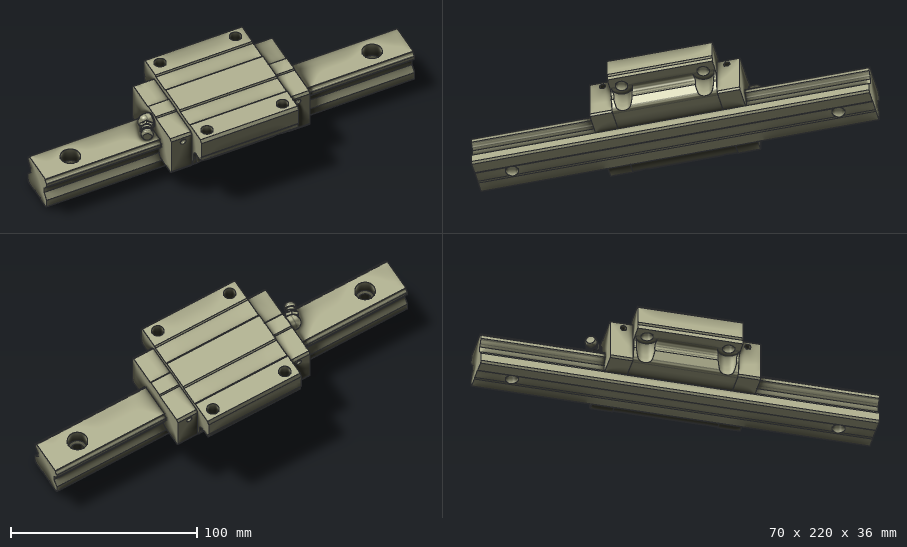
import cadquery as cq
import math

RAIL_LENGTH = 220.0
TOTAL_HEIGHT = 36.0

RAIL_HEIGHT = 20.5
RAIL_HALF_WIDTH = 11.5
RAIL_TOP_HALF_WIDTH = 9.7
RAIL_WAIST_HALF_WIDTH = 8.4
RAIL_HEAD_TOP = 18.3
RAIL_HEAD_BOTTOM = 16.0
RAIL_WAIST_TOP = 12.5
RAIL_WAIST_BOTTOM = 9.2
RAIL_BASE_TOP = 6.0
RAIL_BOTTOM_CHAMFER = 1.0
UPPER_TRACK_TOP = 20.0
UPPER_TRACK_MIDDLE = (10.1, 19.0)
UPPER_TRACK_END = (11.0, 18.5)
LOWER_TRACK_START = (11.0, 15.6)
LOWER_TRACK_MIDDLE = (10.1, 14.7)
LOWER_TRACK_END = (9.5, 13.6)
RAIL_RELIEF_DEPTH = 0.5
RAIL_RELIEF_HALF_WIDTH = 4.0
RAIL_RELIEF_SLOPE = 0.9
RAIL_HOLE_SPACING = 180.5
RAIL_HOLE_DIAMETER = 7.0
RAIL_COUNTERBORE_DIAMETER = 11.0
RAIL_COUNTERBORE_DEPTH = 8.8

BLOCK_HALF_WIDTH = 35.0
BLOCK_LENGTH = 58.0
BLOCK_BOTTOM = 7.3
TOP_CHAMFER_WIDTH = 1.3
TOP_CHAMFER_HEIGHT = 1.8
FLANGE_STEP_TOP = 24.2
FLANGE_STEP_BOTTOM = 23.0
FLANGE_STEP_WIDTH = 0.7
FLANGE_EDGE_BOTTOM = 20.7
FLANGE_UNDERSIDE = 20.2
SKIRT_HALF_WIDTH = 25.5
SKIRT_FILLET = 3.0
SKIRT_BEAD_TOP = 15.6
SKIRT_BEAD_BOTTOM = 14.3
SKIRT_BEAD_WIDTH = 0.2
SKIRT_BOTTOM_HALF_WIDTH = 23.5
SKIRT_CORNER_RADIUS = 2.5

GROOVE_INNER = 8.4
GROOVE_OUTER = 21.1
GROOVE_DEPTH = 0.7
GROOVE_SLOPE = 0.9

MOUNT_HOLE_DIAMETER = 6.5
MOUNT_SPACING_X = 57.0
MOUNT_SPACING_Y = 45.0
NOTCH_RADIUS = 6.0

CARRIAGE_LENGTH = 83.0
CAP_HALF_WIDTH = 23.5
CAP_BOTTOM = 7.0
CAP_TOP = 32.1
CAP_TOP_CHAMFER = 1.3
CAP_BOTTOM_CHAMFER_WIDTH = 0.7
CAP_BOTTOM_CHAMFER_HEIGHT = 1.3
CAP_RIDGE_HEIGHT = 0.7
CAP_RIDGE_HALF_WIDTH = 4.5
CAP_HOLE_DIAMETER = 3.3
CAP_HOLE_DEPTH = 4.5
CAP_HOLE_Y = 34.3
CAP_HOLE_Z = 28.0

NIPPLE_Z = 26.8
ELBOW_DIAMETER = 8.5
ELBOW_STUB_LENGTH = 3.5
SEAT_DIAMETER = 8.0
SEAT_LENGTH = 0.7
NOZZLE_ANGLE = 22.5
HEX_ACROSS_FLATS = 7.0
HEX_TURN = 30.0
HEX_START = 3.0
HEX_END = 5.3
COLLAR_END = 6.8
HEAD_START = 8.5
HEAD_ROUND_START = 10.0
NOZZLE_END = 11.7
NECK_DIAMETER = 4.8
HEAD_DIAMETER = 6.5
COLLAR_DIAMETER = 6.0


def symmetric_prism(right_side, length):
    """Extrude a profile along Y, centred; right_side runs from top to bottom at x >= 0."""
    left_side = [(-x, z) for x, z in reversed(right_side)]
    outline = cq.Workplane("XZ").polyline(right_side + left_side).close()
    return outline.extrude(length / 2, both=True)


def rail_profile_bar():
    """Solid rail without holes: half of its section extruded, then mirrored."""
    top = RAIL_HEIGHT
    half_bar = (
        cq.Workplane("XZ")
        .moveTo(0, top)
        .lineTo(RAIL_TOP_HALF_WIDTH, top)
        .lineTo(RAIL_TOP_HALF_WIDTH, UPPER_TRACK_TOP)
        .threePointArc(UPPER_TRACK_MIDDLE, UPPER_TRACK_END)
        .lineTo(RAIL_HALF_WIDTH, RAIL_HEAD_TOP)
        .lineTo(RAIL_HALF_WIDTH, RAIL_HEAD_BOTTOM)
        .lineTo(*LOWER_TRACK_START)
        .threePointArc(LOWER_TRACK_MIDDLE, LOWER_TRACK_END)
        .lineTo(RAIL_WAIST_HALF_WIDTH, RAIL_WAIST_TOP)
        .lineTo(RAIL_WAIST_HALF_WIDTH, RAIL_WAIST_BOTTOM)
        .lineTo(RAIL_HALF_WIDTH, RAIL_BASE_TOP)
        .lineTo(RAIL_HALF_WIDTH, RAIL_BOTTOM_CHAMFER)
        .lineTo(RAIL_HALF_WIDTH - RAIL_BOTTOM_CHAMFER, 0)
        .lineTo(RAIL_RELIEF_HALF_WIDTH, 0)
        .lineTo(RAIL_RELIEF_HALF_WIDTH - RAIL_RELIEF_SLOPE, RAIL_RELIEF_DEPTH)
        .lineTo(0, RAIL_RELIEF_DEPTH)
        .close()
        .extrude(RAIL_LENGTH / 2, both=True)
    )
    return half_bar.union(half_bar.mirror("YZ"))


def make_rail():
    return (
        rail_profile_bar()
        .faces(">Z")
        .workplane(origin=(0, 0, RAIL_HEIGHT))
        .rarray(2.2, RAIL_HOLE_SPACING, 1, 2)
        .cboreHole(RAIL_HOLE_DIAMETER, RAIL_COUNTERBORE_DIAMETER, RAIL_COUNTERBORE_DEPTH)
    )


def make_block():
    """Flanged middle block, before the rail passage is cut."""
    groove_floor = TOTAL_HEIGHT - GROOVE_DEPTH
    stepped_half_width = BLOCK_HALF_WIDTH - FLANGE_STEP_WIDTH
    right_side = [
        (GROOVE_INNER, TOTAL_HEIGHT),
        (GROOVE_INNER + GROOVE_SLOPE, groove_floor),
        (GROOVE_OUTER - GROOVE_SLOPE, groove_floor),
        (GROOVE_OUTER, TOTAL_HEIGHT),
        (BLOCK_HALF_WIDTH - TOP_CHAMFER_WIDTH, TOTAL_HEIGHT),
        (BLOCK_HALF_WIDTH, TOTAL_HEIGHT - TOP_CHAMFER_HEIGHT),
        (BLOCK_HALF_WIDTH, FLANGE_STEP_TOP),
        (stepped_half_width, FLANGE_STEP_BOTTOM),
        (stepped_half_width, FLANGE_EDGE_BOTTOM),
        (SKIRT_HALF_WIDTH, FLANGE_UNDERSIDE),
        (SKIRT_HALF_WIDTH - SKIRT_BEAD_WIDTH, SKIRT_BEAD_TOP),
        (SKIRT_HALF_WIDTH, SKIRT_BEAD_BOTTOM),
        (SKIRT_BOTTOM_HALF_WIDTH, BLOCK_BOTTOM),
    ]
    block = symmetric_prism(right_side, BLOCK_LENGTH)
    for x in (-SKIRT_HALF_WIDTH, SKIRT_HALF_WIDTH):
        block = block.edges(cq.NearestToPointSelector((x, 0, FLANGE_UNDERSIDE))).fillet(SKIRT_FILLET)
    for x in (-SKIRT_BOTTOM_HALF_WIDTH, SKIRT_BOTTOM_HALF_WIDTH):
        block = block.edges(cq.NearestToPointSelector((x, 0, BLOCK_BOTTOM))).fillet(SKIRT_CORNER_RADIUS)

    mounts = cq.Workplane("XY").rarray(MOUNT_SPACING_X, MOUNT_SPACING_Y, 2, 2)
    holes = mounts.circle(MOUNT_HOLE_DIAMETER / 2).extrude(TOTAL_HEIGHT)
    notches = mounts.circle(NOTCH_RADIUS).extrude(FLANGE_UNDERSIDE)
    return block.cut(holes).cut(notches)


def make_caps():
    """The two end caps, one against each end of the block."""
    ridge_top = CAP_TOP + CAP_RIDGE_HEIGHT
    right_side = [
        (CAP_RIDGE_HALF_WIDTH, ridge_top),
        (CAP_RIDGE_HALF_WIDTH + CAP_RIDGE_HEIGHT, CAP_TOP),
        (CAP_HALF_WIDTH - CAP_TOP_CHAMFER, CAP_TOP),
        (CAP_HALF_WIDTH, CAP_TOP - CAP_TOP_CHAMFER),
        (CAP_HALF_WIDTH, CAP_BOTTOM + CAP_BOTTOM_CHAMFER_HEIGHT),
        (CAP_HALF_WIDTH - CAP_BOTTOM_CHAMFER_WIDTH, CAP_BOTTOM),
    ]
    cap_length = (CARRIAGE_LENGTH - BLOCK_LENGTH) / 2
    cap = symmetric_prism(right_side, cap_length)
    cap_y = (BLOCK_LENGTH + cap_length) / 2
    caps = cap.translate((0, cap_y, 0)).union(cap.translate((0, -cap_y, 0)))
    for side in (-1, 1):
        holes = (
            cq.Workplane("YZ", origin=(side * CAP_HALF_WIDTH, 0, CAP_HOLE_Z))
            .pushPoints([(-CAP_HOLE_Y, 0), (CAP_HOLE_Y, 0)])
            .circle(CAP_HOLE_DIAMETER / 2)
            .extrude(-side * CAP_HOLE_DEPTH)
        )
        caps = caps.cut(holes)
    return caps


def make_nipple():
    elbow_y = -CARRIAGE_LENGTH / 2 - ELBOW_STUB_LENGTH
    elbow_radius = ELBOW_DIAMETER / 2
    centre = cq.Vector(0, elbow_y, NIPPLE_Z)
    angle = math.radians(NOZZLE_ANGLE)
    nozzle_plane = cq.Plane(
        origin=centre, xDir=(0, 0, 1), normal=(math.cos(angle), -math.sin(angle), 0)
    )

    elbow = cq.Workplane("XY").sphere(elbow_radius).translate(centre)
    stub = cq.Workplane("XZ", origin=centre).circle(elbow_radius).extrude(SEAT_LENGTH - ELBOW_STUB_LENGTH)
    seat = cq.Workplane("XZ", origin=centre).circle(SEAT_DIAMETER / 2).extrude(-ELBOW_STUB_LENGTH)

    hexagon = (
        cq.Workplane(nozzle_plane)
        .transformed(offset=(0, 0, HEX_START), rotate=(0, 0, HEX_TURN))
        .polygon(6, HEX_ACROSS_FLATS, circumscribed=True)
        .extrude(HEX_END - HEX_START)
    )

    neck_radius = NECK_DIAMETER / 2
    collar_radius = COLLAR_DIAMETER / 2
    head_radius = HEAD_DIAMETER / 2
    section_plane = cq.Plane(origin=centre, xDir=(0, 0, 1), normal=nozzle_plane.yDir * -1)
    nozzle = (
        cq.Workplane(section_plane)
        .lineTo(collar_radius, 0)
        .lineTo(collar_radius, COLLAR_END)
        .lineTo(neck_radius, COLLAR_END)
        .lineTo(neck_radius, HEAD_START)
        .lineTo(head_radius, HEAD_START)
        .lineTo(head_radius, HEAD_ROUND_START)
        .tangentArcPoint((neck_radius, NOZZLE_END), relative=False)
        .lineTo(0, NOZZLE_END)
        .close()
        .revolve(360, (0, 0), (0, 1))
    )
    return elbow.union(stub).union(seat).union(hexagon).union(nozzle)


def make_carriage(nipple):
    """Block and end caps in one piece, with a passage for the rail and a recess for the nipple."""
    return make_block().union(make_caps()).cut(rail_profile_bar()).cut(nipple)


rail = make_rail()
nipple = make_nipple()
carriage = make_carriage(nipple)

result = cq.Compound.makeCompound([rail.val(), carriage.val(), nipple.val()])